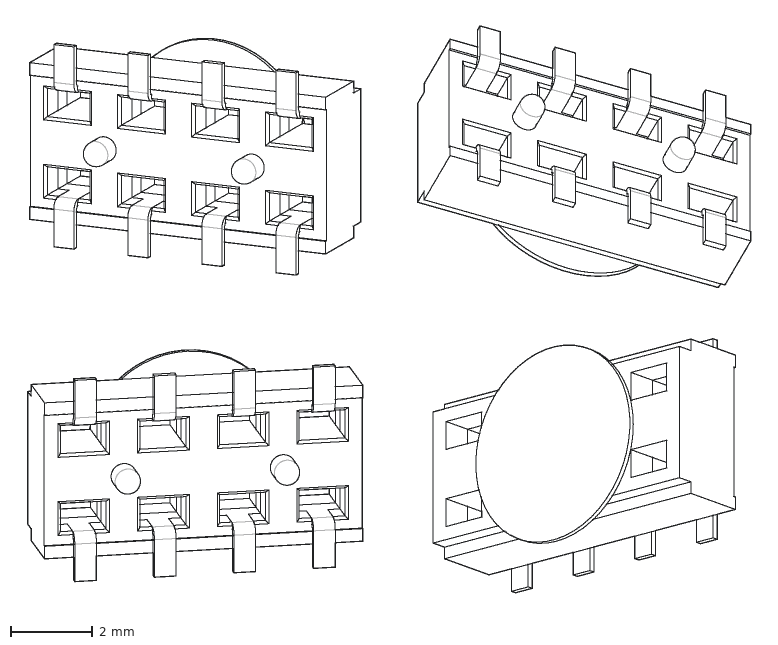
import cadquery as cq
import math


housing_length = 8.0
housing_height = 4.0
back_height = 3.4
back_step_depth = 0.43
ledge_y = -2.12
face_y = -2.06
face_height = 3.35

pitch = 2.0
columns = 4
column_xs = [pitch * (i - (columns - 1) / 2) for i in range(columns)]
row_z = pitch / 2
socket_width = 1.15
socket_height = 0.72
mouth_chamfer = 0.07

disc_diameter = 5.0
disc_thickness = 0.13

peg_diameter = 0.63
peg_length = 0.82
peg_x = pitch

contact_width = 0.54
contact_thickness = 0.16
bend_radius = 0.26
contact_span = 5.16
foot_end_z = contact_span / 2
band_front_y = -1.36
band_depth = contact_width
leg_z = row_z + socket_height / 2
foot_y = ledge_y - contact_thickness


def block(height, front_y, back_y):
    """Full-length block centred on X and Z, between two Y planes."""
    return cq.Workplane("XY").box(housing_length, back_y - front_y, height).translate(
        (0, (front_y + back_y) / 2, 0)
    )


def make_socket(x, z):
    """Through opening with a chamfered mouth, as a cutting shape."""
    opening = (
        cq.Workplane("XZ")
        .center(x, z)
        .rect(socket_width, socket_height)
        .extrude(-face_y)
    )
    mouth = (
        cq.Workplane("XZ", origin=(0, face_y, 0))
        .center(x, z)
        .rect(socket_width + 2 * mouth_chamfer, socket_height + 2 * mouth_chamfer)
        .extrude(-mouth_chamfer, taper=45)
    )
    return opening.union(mouth)


def make_peg(x):
    """Round peg standing on the sunken face, ending in a hemisphere."""
    radius = peg_diameter / 2
    shoulder = peg_length - radius
    diagonal = math.sqrt(0.5)
    return (
        cq.Workplane("XY", origin=(x, face_y, 0))
        .lineTo(radius, 0)
        .lineTo(radius, -shoulder)
        .threePointArc((radius * diagonal, -shoulder - radius * diagonal), (0, -peg_length))
        .close()
        .revolve(360, (0, 0, 0), (0, 1, 0))
    )


def make_lead():
    """Upper lead of a contact at X = 0; its profile in Y and Z is extruded along X."""
    inner_radius = bend_radius - contact_thickness
    bend_y = foot_y + bend_radius
    bend_z = leg_z + bend_radius
    diagonal = math.sqrt(0.5)
    return (
        cq.Workplane("YZ")
        .moveTo(band_front_y, leg_z)
        .lineTo(bend_y, leg_z)
        .threePointArc(
            (bend_y - bend_radius * diagonal, bend_z - bend_radius * diagonal),
            (foot_y, bend_z),
        )
        .lineTo(foot_y, foot_end_z)
        .lineTo(ledge_y, foot_end_z)
        .lineTo(ledge_y, bend_z)
        .threePointArc(
            (bend_y - inner_radius * diagonal, bend_z - inner_radius * diagonal),
            (bend_y, leg_z + contact_thickness),
        )
        .lineTo(band_front_y, leg_z + contact_thickness)
        .close()
        .extrude(contact_width / 2, both=True)
    )


def make_contact(x):
    """Band around the two sockets of one column, with its upper and lower leads."""
    band = (
        cq.Workplane("XZ", origin=(0, band_front_y, 0))
        .rect(socket_width + 2 * contact_thickness, 2 * (leg_z + contact_thickness))
        .rect(socket_width, 2 * leg_z)
        .extrude(-band_depth)
    )
    lead = make_lead()
    return band.union(lead).union(lead.mirror("XY")).translate((x, 0, 0))


contacts = [make_contact(x) for x in column_xs]


def make_housing():
    """Housing with its sockets, disc and pegs, recessed for the contacts."""
    body = block(housing_height, ledge_y, -back_step_depth)
    body = body.union(block(back_height, -back_step_depth, 0))
    body = body.cut(block(face_height, ledge_y, face_y))

    for x in column_xs:
        for z in (-row_z, row_z):
            body = body.cut(make_socket(x, z))

    disc = cq.Workplane("XZ").circle(disc_diameter / 2).extrude(-disc_thickness)
    body = body.union(disc)

    for x in (-peg_x, peg_x):
        body = body.union(make_peg(x))

    for contact in contacts:
        body = body.cut(contact)
    return body


housing = make_housing()

result = cq.Compound.makeCompound([housing.val(), *[contact.val() for contact in contacts]])